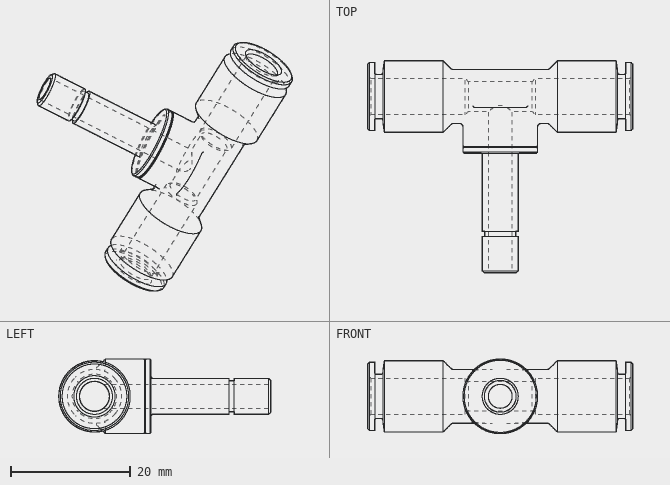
import cadquery as cq

run_length = 44.4
half_run = run_length / 2
pipe_radius = 4.55
body_radius = 6.0
body_inset = 2.55
body_lip_length = 0.25
body_lip_radius = 4.25
shoulder_inset = 12.65
shoulder_length = body_radius - pipe_radius
shoulder_fillet = 0.4

collar_radius = 5.73
collar_thickness = 1.2
collar_chamfer = 0.3
collar_neck_radius = 3.75
collar_neck_fillet = 0.2

mouth_radius = 3.45
socket_radius = 3.0
mouth_length = 0.58
socket_depth = 16.85
through_radius = 2.5
socket_floor_length = socket_radius - through_radius

boss_radius = 6.25
boss_cone_start = 1.8
boss_end = 9.5
boss_chamfer = 0.2
boss_fillet = 0.55
seam_distance = 8.35
seam_width = 0.2
seam_depth = 0.15

stem_radius = 3.0
stem_end = 29.53
stem_bore_radius = 2.0
stem_chamfer = 0.35
stem_root_fillet = 0.25
groove_start = 22.55
groove_end = 23.4
groove_depth = 0.4

pick_margin = 0.05


def cylinder_along_branch(radius, start, end):
    """Cylinder on the branch axis between two distances from the run axis."""
    return cq.Workplane("XZ", origin=(0, -start, 0)).circle(radius).extrude(end - start)


def make_run():
    """Revolve one half of the run around X and mirror it."""
    body_face = half_run - body_inset
    shoulder_start = half_run - shoulder_inset
    shoulder_end = shoulder_start - shoulder_length
    collar_back = half_run - collar_thickness
    profile = [
        (0, 0),
        (0, pipe_radius),
        (shoulder_end, pipe_radius),
        (shoulder_start, body_radius),
        (body_face - body_lip_length, body_radius),
        (body_face, body_lip_radius),
        (body_face, collar_neck_radius),
        (collar_back, collar_neck_radius),
        (collar_back, collar_radius),
        (half_run - collar_chamfer, collar_radius),
        (half_run, collar_radius - collar_chamfer),
        (half_run, 0),
    ]
    half = cq.Workplane("XY").polyline(profile).close().revolve(360, (0, 0, 0), (1, 0, 0))
    pipe_end = cq.selectors.BoxSelector(
        (shoulder_end - pick_margin, -body_radius, -body_radius),
        (shoulder_end + pick_margin, body_radius, body_radius),
    )
    half = half.edges("%CIRCLE").edges(pipe_end).fillet(shoulder_fillet)
    neck_ends = cq.selectors.RadiusNthSelector(0)
    half = half.edges("%CIRCLE").edges(neck_ends).fillet(collar_neck_fillet)
    return half.union(half.mirror("YZ"))


def make_boss():
    """Round boss whose inner end tapers at 45 degrees into the run, with a shallow seam groove."""
    profile = [
        (0, 0),
        (boss_radius - boss_cone_start, 0),
        (boss_radius, -boss_cone_start),
        (boss_radius, -seam_distance),
        (boss_radius - seam_depth, -seam_distance),
        (boss_radius - seam_depth, -seam_distance - seam_width),
        (boss_radius, -seam_distance - seam_width),
        (boss_radius, -boss_end + boss_chamfer),
        (boss_radius - boss_chamfer, -boss_end),
        (0, -boss_end),
    ]
    return cq.Workplane("XY").polyline(profile).close().revolve(360, (0, 0, 0), (0, 1, 0))


def make_stem():
    """Plain stem with a chamfered tip, a retaining groove and a rounded root."""
    stem = cylinder_along_branch(stem_radius, boss_end, stem_end).faces("<Y").chamfer(stem_chamfer)
    ring = cylinder_along_branch(stem_radius, groove_start, groove_end).cut(
        cylinder_along_branch(stem_radius - groove_depth, groove_start, groove_end)
    )
    root = (
        cq.Workplane("XY")
        .moveTo(0, -boss_end)
        .lineTo(stem_radius + stem_root_fillet, -boss_end)
        .radiusArc((stem_radius, -boss_end - stem_root_fillet), -stem_root_fillet)
        .lineTo(0, -boss_end - stem_root_fillet)
        .close()
        .revolve(360, (0, 0, 0), (0, 1, 0))
    )
    return stem.cut(ring).union(root)


def make_socket_bore():
    """Cutter for the +X socket, with its conical mouth and floor."""
    profile = [
        (half_run - socket_depth, 0),
        (half_run - socket_depth, through_radius),
        (half_run - socket_depth + socket_floor_length, socket_radius),
        (half_run - mouth_length, socket_radius),
        (half_run, mouth_radius),
        (half_run, 0),
    ]
    return cq.Workplane("XY").polyline(profile).close().revolve(360, (0, 0, 0), (1, 0, 0))


def blend_boss(run, boss):
    """Join the boss to the run and round the junction between them."""
    joined = run.union(boss)
    near_junction = cq.selectors.BoxSelector(
        (-boss_radius - pick_margin, -pipe_radius - pick_margin, -pipe_radius - pick_margin),
        (boss_radius + pick_margin, -pick_margin, pipe_radius + pick_margin),
    )
    junction_edges = joined.edges(near_junction).edges("not(%CIRCLE or %LINE)")
    return junction_edges.fillet(boss_fillet)


fitting = blend_boss(make_run(), make_boss()).union(make_stem())

through_bore = cq.Workplane("YZ").circle(through_radius).extrude(half_run, both=True)
socket_bore = make_socket_bore()
stem_bore = cylinder_along_branch(stem_bore_radius, 0, stem_end)

result = fitting.cut(through_bore).cut(socket_bore).cut(socket_bore.mirror("YZ")).cut(stem_bore)